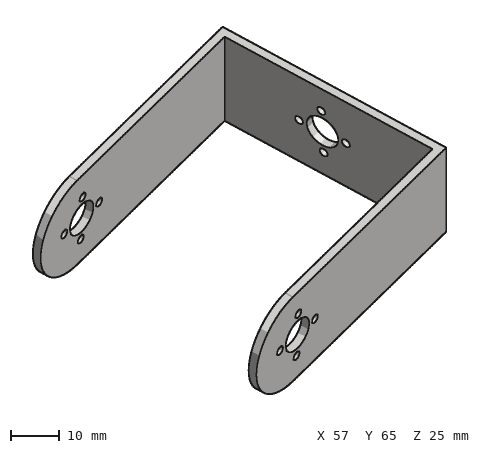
import cadquery as cq

width = 57.0
length = 65.0
height = 25.0
thickness = 2.0

bore_diameter = 8.0
screw_hole_diameter = 2.0
screw_hole_count = 4
screw_circle_radius = 6.0
pattern_tilt = 3.0
pattern_offset = 1.55

end_radius = height / 2
arm_end_center_y = end_radius - length / 2


def make_bracket():
    """U-shaped wall with the free ends of the arms rounded."""
    block = cq.Workplane("XY").box(width, length, height)
    inside = (
        cq.Workplane("XY")
        .box(width - 2 * thickness, length, height)
        .translate((0, -thickness, 0))
    )
    side_profile = (
        cq.Workplane("YZ")
        .moveTo(length / 2, -end_radius)
        .lineTo(length / 2, end_radius)
        .lineTo(arm_end_center_y, end_radius)
        .threePointArc((-length / 2, 0), (arm_end_center_y, -end_radius))
        .close()
        .extrude(width / 2, both=True)
    )
    return block.cut(inside).intersect(side_profile)


def hole_pattern(plane, center, tilt, depth):
    """Bore with a ring of screw holes, extending the depth to both sides of the plane."""
    start = cq.Workplane(plane).center(*center)
    bore = start.circle(bore_diameter / 2).extrude(depth, both=True)
    screw_holes = (
        start.polarArray(screw_circle_radius, tilt, 360, screw_hole_count)
        .circle(screw_hole_diameter / 2)
        .extrude(depth, both=True)
    )
    return bore.union(screw_holes)


back_holes = hole_pattern("XZ", (-pattern_offset, 0), pattern_tilt, length)

arm_holes = hole_pattern("YZ", (arm_end_center_y + pattern_offset, 0), -pattern_tilt, width)

result = make_bracket().cut(back_holes).cut(arm_holes)